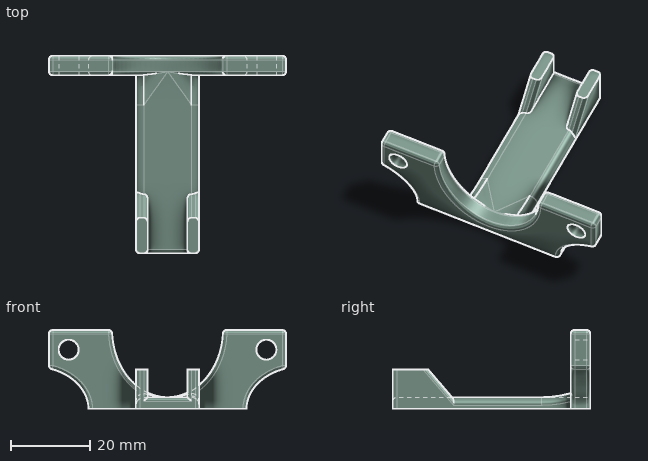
import cadquery as cq
import math

plate_width = 60.0
plate_height = 20.0
plate_thickness = 5.0
edge_radius = 1.0

saddle_half_width = 14.0
saddle_floor = 3.0
saddle_depth = plate_height - saddle_floor

foot_half_width = 20.0
corner_cut_half_width = saddle_half_width
corner_cut_height = 10.7
corner_cut_offset = foot_half_width + corner_cut_half_width

hole_diameter = 5.0
hole_spacing = 50.0
hole_height = 15.0

arm_length = 45.0
arm_width = 16.0
arm_thickness = saddle_floor
arm_edge_radius = 2.0
arm_flat_half_width = arm_width / 2 - arm_edge_radius

flare_length = 7.4
flare_rise = 1.0
plate_overlap = edge_radius

prong_height = 10.0
prong_thickness = 3.0
prong_top_length = 9.0
prong_slope_angle = 49.5


def rise_radius(length, rise):
    """Radius of an arc that starts level and climbs by rise over length."""
    return (length**2 + rise**2) / (2 * rise)


def make_plate():
    """Drilled plate with the saddle and corner cutouts, rounded everywhere but the underside."""
    blank = (
        cq.Workplane("XZ")
        .rect(plate_width, plate_height)
        .extrude(-plate_thickness)
        .translate((0, 0, plate_height / 2))
    )
    saddle = (
        cq.Workplane("XZ", origin=(0, 0, plate_height))
        .ellipse(saddle_half_width, saddle_depth)
        .extrude(-plate_thickness)
    )
    corner_cuts = (
        cq.Workplane("XZ")
        .pushPoints([(-corner_cut_offset, 0), (corner_cut_offset, 0)])
        .ellipse(corner_cut_half_width, corner_cut_height)
        .extrude(-plate_thickness)
    )
    plate = blank.cut(saddle).cut(corner_cuts)
    bottom_edges = cq.selectors.BoxSelector(
        (-plate_width, -plate_thickness, -edge_radius / 2),
        (plate_width, 2 * plate_thickness, edge_radius / 2),
    )
    plate = plate.edges(cq.selectors.InverseSelector(bottom_edges)).fillet(edge_radius)
    holes = (
        cq.Workplane("XZ")
        .pushPoints([(-hole_spacing / 2, hole_height), (hole_spacing / 2, hole_height)])
        .circle(hole_diameter / 2)
        .extrude(-plate_thickness)
    )
    return plate.cut(holes)


def make_arm():
    """Bar with rounded long top edges, curving upward where it enters the plate."""
    flare_top = arm_thickness + flare_rise
    arm = (
        cq.Workplane("YZ")
        .moveTo(-arm_length, 0)
        .lineTo(-arm_length, arm_thickness)
        .lineTo(-flare_length, arm_thickness)
        .radiusArc((0, flare_top), -rise_radius(flare_length, flare_rise))
        .lineTo(plate_overlap, flare_top)
        .lineTo(plate_overlap, 0)
        .close()
        .extrude(arm_width / 2, both=True)
    )
    arm = arm.faces("<X or >X").edges("not(<Z or |Z)").fillet(arm_edge_radius)
    arm = arm.edges("|Z and <Y").fillet(edge_radius)
    arm = arm.cut(make_tip_rounding())
    for side in (-1, 1):
        arm = arm.cut(make_valley(side))
    return arm


def make_tip_rounding():
    """Cutter that rounds the top edge at the tip of the arm."""
    return (
        cq.Workplane("YZ")
        .moveTo(-arm_length, arm_thickness - edge_radius)
        .radiusArc((-arm_length + edge_radius, arm_thickness), edge_radius)
        .lineTo(-arm_length, arm_thickness)
        .close()
        .extrude(arm_width / 2, both=True)
    )


def make_valley(side):
    """Cutter that lowers one half of the flare to the arm's flat top.

    Its curved wall rises from a crease that runs obliquely, from the arm's centre
    line inside the plate to the start of the flare at the edge of the flat top.
    """
    run = flare_length + plate_overlap
    crease_length = math.hypot(arm_flat_half_width, run)
    wall_length = arm_flat_half_width * flare_length / crease_length
    cutter_height = 2 * flare_rise
    crease_plane = cq.Plane(
        origin=(0, plate_overlap, arm_thickness),
        xDir=(side * run, arm_flat_half_width, 0),
        normal=(arm_flat_half_width, -side * run, 0),
    )
    oblique_cutter = (
        cq.Workplane(crease_plane)
        .moveTo(-crease_length, 0)
        .lineTo(0, 0)
        .radiusArc((wall_length, flare_rise), -rise_radius(wall_length, flare_rise))
        .lineTo(wall_length, cutter_height)
        .lineTo(-crease_length, cutter_height)
        .close()
        .extrude(2 * crease_length, both=True)
    )
    flat_top_half = (
        cq.Workplane("XY")
        .box(arm_flat_half_width, run, cutter_height, centered=(True, False, False))
        .translate((side * arm_flat_half_width / 2, -flare_length, arm_thickness))
    )
    return oblique_cutter.intersect(flat_top_half)


def make_prong(side):
    """Upright wall at one side of the tip, with rounded edges along its front and sloped back."""
    slope_run = prong_height / math.tan(math.radians(prong_slope_angle))
    top_end = -arm_length + prong_top_length
    prong = (
        cq.Workplane("YZ")
        .moveTo(-arm_length, 0)
        .lineTo(-arm_length, prong_height)
        .lineTo(top_end, prong_height)
        .lineTo(top_end + slope_run, 0)
        .close()
        .extrude(prong_thickness / 2, both=True)
    )
    prong = prong.edges("not(|X or >Z or <Z)").fillet(edge_radius)
    return prong.translate((side * (arm_width - prong_thickness) / 2, 0, 0))


result = make_plate().union(make_arm())
for prong_side in (-1, 1):
    result = result.union(make_prong(prong_side))